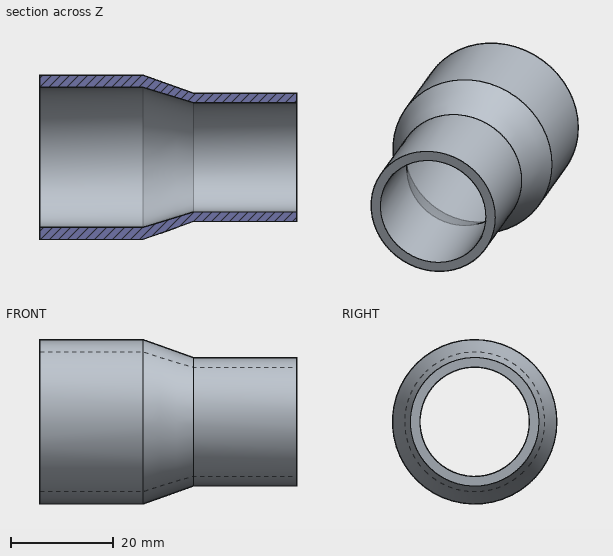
import cadquery as cq

total_length = 50.0
large_length = 20.1
small_length = 20.1
large_outer_diameter = 32.0
large_bore_diameter = 27.2
small_outer_diameter = 25.0
small_bore_diameter = 21.2

taper_start = large_length
taper_end = total_length - small_length


def stepped_solid(large_diameter, small_diameter):
    """Two coaxial cylinders joined by a cone, revolved about the X axis."""
    large_radius = large_diameter / 2
    small_radius = small_diameter / 2
    return (
        cq.Workplane("XY")
        .moveTo(0, 0)
        .lineTo(0, large_radius)
        .lineTo(taper_start, large_radius)
        .lineTo(taper_end, small_radius)
        .lineTo(total_length, small_radius)
        .lineTo(total_length, 0)
        .close()
        .revolve(360, (0, 0, 0), (1, 0, 0))
    )


outer_body = stepped_solid(large_outer_diameter, small_outer_diameter)
bore = stepped_solid(large_bore_diameter, small_bore_diameter)

result = outer_body.cut(bore)